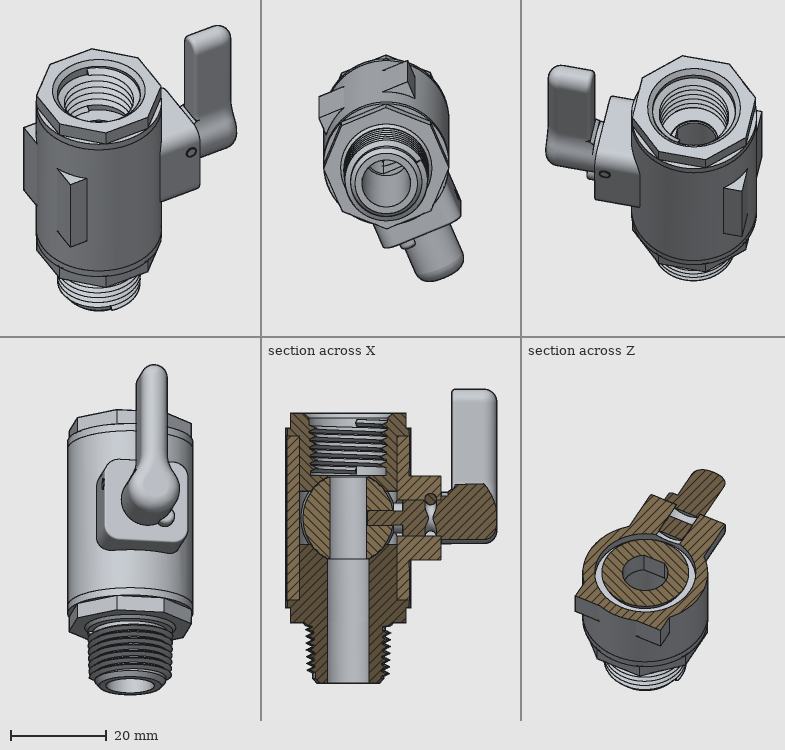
import cadquery as cq
import math


BODY_D = 26.25
BODY_HALF_H = 17.2
BODY_BORE_D = 21.1
BLOCK_W = 17.75
BLOCK_CORNER_R = 3.2
BLOCK_END_Y = 19.5
BLOCK_EDGE_R = 0.4
PAD_W = 20.2
PAD_Y = -12.4

FLANGE_TOP = 18.8
OCTAGON_TOP = 21.95
HALF_OCTAGON_STEP = 360 / 8 / 2
PORT_D = 10.2
PLUG_END_Z = 5.55
THREAD_TAPER = math.degrees(math.atan(1 / 32))
THREAD_FILL = 0.92
THREAD_SINK = 0.1

MOUTH_D = 19.4
FEMALE_ROOT_D = 17.4
MOUTH_DEPTH = 1.0
SHELF_Z = 8.95
FEMALE_ROOT_END_D = FEMALE_ROOT_D - (OCTAGON_TOP - MOUTH_DEPTH - SHELF_Z) / 16
FEMALE_CREST_DEPTH = 1.35
FEMALE_PITCH = 1.65
FEMALE_THREAD_START_Z = 9.9
FEMALE_TURNS = 6
FEMALE_START_ANGLE = 168

MALE_END_Z = -34.65
NECK_D = 19.1
NECK_FOOT_D = 17.75
NECK_H = 0.7
NECK_STEP_H = 0.2
MALE_ROOT_TOP_D = 15.55
MALE_ROOT_END_D = 14.9
MALE_TIP_D = 13.1
MALE_TIP_H = 1.05
MALE_CREST_DEPTH = 1.2
MALE_PITCH = 1.4
MALE_THREAD_START_Z = -33.0
MALE_TURNS = 7
MALE_START_ANGLE = -10

BALL_D = 19.9
BALL_BORE_D = 9.45

HANDLE_Y = 31.15
HUB_D = 10.8
GRIP_W = 5.55
GRIP_TOP_Z = 27.0
GRIP_INNER_Y = 21.65
GRIP_EDGE_R = 0.85
OUTER_EDGE_R = 2.7
BLEND_TOP_Z = 7.5
BLEND_Y = 20.85
BLEND_FOOT_Z = 6.05
STEM_D = 9.4
STEM_SHOULDER_Y = 11.4
TANG_D = 6.35
TANG_Y = 4.05
STOP_D = 3.7
STOP_X = -3.8
STOP_Z = -3.65
STOP_END_Y = 21.9
STOP_EDGE_R = 0.75

PIN_D = 2.35
PIN_Y = 17.25
PIN_Z = 3.9
PIN_CHAMFER = 0.2


def disc(diameter, z_from, z_to):
    """Cylinder on the flow axis."""
    return cq.Workplane("XY").workplane(offset=z_from).circle(diameter / 2).extrude(z_to - z_from)


def rod(diameter, y_from, y_to):
    """Cylinder on the stem axis."""
    return cq.Workplane("XZ", origin=(0, y_from, 0)).circle(diameter / 2).extrude(y_from - y_to)


def thread_ridge(pitch, turns, z_start, base_r, height, start_angle):
    """Right-hand helical ridge of triangular section; a negative height points inwards."""
    helix = cq.Wire.makeHelix(pitch, pitch * turns, base_r, angle=THREAD_TAPER)
    half_base = THREAD_FILL * pitch / 2
    section = (
        cq.Workplane("XZ")
        .polyline([(base_r, -half_base), (base_r + height, 0), (base_r, half_base)])
        .close()
    )
    ridge = section.sweep(cq.Workplane(helix), isFrenet=True)
    return ridge.rotate((0, 0, 0), (0, 0, 1), start_angle).translate((0, 0, z_start))


def pin_cylinder():
    """Cylinder along X through the whole stem block, beside the stem axis."""
    return cq.Workplane("YZ", origin=(-BLOCK_W / 2, PIN_Y, PIN_Z)).circle(PIN_D / 2).extrude(BLOCK_W)


def make_pin():
    return pin_cylinder().faces("<X or >X").chamfer(PIN_CHAMFER)


def make_housing():
    block = (
        cq.Workplane("XZ")
        .rect(BLOCK_W, BLOCK_W)
        .extrude(-BLOCK_END_Y)
        .edges("|Y")
        .fillet(BLOCK_CORNER_R)
        .faces(">Y")
        .edges()
        .fillet(BLOCK_EDGE_R)
    )
    pad = cq.Workplane("XZ").rect(PAD_W, BLOCK_W).extrude(-PAD_Y)
    housing = disc(BODY_D, -BODY_HALF_H, BODY_HALF_H).union(block).union(pad)
    housing = housing.cut(disc(BODY_BORE_D, -BODY_HALF_H, BODY_HALF_H))
    return housing.cut(rod(STEM_D, 0, BLOCK_END_Y)).cut(pin_cylinder())


def end_blank():
    """Plug, flange and octagon of an end that points up; the plug is hollowed to seat the ball."""
    plug = disc(BODY_BORE_D, PLUG_END_Z, BODY_HALF_H)
    flange = disc(BODY_D, BODY_HALF_H, FLANGE_TOP)
    octagon = (
        cq.Workplane("XY")
        .workplane(offset=FLANGE_TOP)
        .transformed(rotate=(0, 0, HALF_OCTAGON_STEP))
        .polygon(8, BODY_D)
        .extrude(OCTAGON_TOP - FLANGE_TOP)
    )
    plug = plug.cut(cq.Workplane("XY").sphere(BALL_D / 2))
    return plug.union(flange).union(octagon).cut(disc(PORT_D, PLUG_END_Z, OCTAGON_TOP))


def make_female_end():
    cone_z = OCTAGON_TOP - MOUTH_DEPTH
    mouth = (
        cq.Workplane("XZ")
        .polyline([
            (0, SHELF_Z),
            (FEMALE_ROOT_END_D / 2, SHELF_Z),
            (FEMALE_ROOT_D / 2, cone_z),
            (MOUTH_D / 2, OCTAGON_TOP),
            (0, OCTAGON_TOP),
        ])
        .close()
        .revolve(360, (0, 0, 0), (0, 1, 0))
    )
    base_r = FEMALE_ROOT_END_D / 2 + THREAD_SINK
    ridge = thread_ridge(
        FEMALE_PITCH, FEMALE_TURNS, FEMALE_THREAD_START_Z, base_r, -FEMALE_CREST_DEPTH - THREAD_SINK,
        FEMALE_START_ANGLE,
    )
    return end_blank().cut(mouth).union(ridge)


def make_male_end():
    neck_z = -OCTAGON_TOP - NECK_H
    root_z = neck_z - NECK_STEP_H
    tip_z = MALE_END_Z + MALE_TIP_H
    shank = (
        cq.Workplane("XZ")
        .polyline([
            (0, -OCTAGON_TOP),
            (NECK_D / 2, -OCTAGON_TOP),
            (NECK_FOOT_D / 2, neck_z),
            (MALE_ROOT_TOP_D / 2, root_z),
            (MALE_ROOT_END_D / 2, tip_z),
            (MALE_TIP_D / 2, MALE_END_Z),
            (0, MALE_END_Z),
        ])
        .close()
        .revolve(360, (0, 0, 0), (0, 1, 0))
    )
    base_r = MALE_ROOT_END_D / 2 - THREAD_SINK
    ridge = thread_ridge(
        MALE_PITCH, MALE_TURNS, MALE_THREAD_START_Z, base_r, MALE_CREST_DEPTH + THREAD_SINK,
        MALE_START_ANGLE,
    )
    blank = end_blank().mirror("XY")
    shank = shank.union(ridge)
    return blank.union(shank).cut(disc(PORT_D, MALE_END_Z, 0))


def make_ball():
    """Ball with flat ends as wide as the ports, a D-shaped bore and a socket for the stem's tang."""
    flat_z = math.sqrt((BALL_D / 2) ** 2 - (PORT_D / 2) ** 2)
    ball = cq.Workplane("XY").sphere(BALL_D / 2).intersect(disc(BALL_D, -flat_z, flat_z))
    below_tang = cq.Workplane("XY").box(BALL_D, BALL_D, BALL_D).translate((0, TANG_Y - BALL_D / 2, 0))
    bore = disc(BALL_BORE_D, -flat_z, flat_z).intersect(below_tang)
    return ball.cut(bore).cut(rod(TANG_D, TANG_Y, BALL_D))


def handle_outline():
    """Closed outline of the hub, the grip rising from it and the arcs that blend them."""
    half_w = GRIP_W / 2
    hub_r = HUB_D / 2
    blend_r = (half_w**2 + BLEND_TOP_Z**2 - hub_r**2) / (2 * (hub_r - half_w))
    reach = hub_r / (hub_r + blend_r)
    foot = ((half_w + blend_r) * reach, BLEND_TOP_Z * reach)
    arc_turn = math.atan2(BLEND_TOP_Z, half_w + blend_r) / 2
    mid = (half_w + blend_r * (1 - math.cos(arc_turn)), BLEND_TOP_Z - blend_r * math.sin(arc_turn))
    return (
        cq.Workplane("XZ", origin=(0, HANDLE_Y, 0))
        .moveTo(-half_w, GRIP_TOP_Z - half_w)
        .threePointArc((0, GRIP_TOP_Z), (half_w, GRIP_TOP_Z - half_w))
        .lineTo(half_w, BLEND_TOP_Z)
        .threePointArc(mid, foot)
        .threePointArc((0, -hub_r), (-foot[0], foot[1]))
        .threePointArc((-mid[0], mid[1]), (-half_w, BLEND_TOP_Z))
        .close()
    )


def make_handle():
    lever = handle_outline().extrude(HANDLE_Y - GRIP_INNER_Y)
    lever = lever.faces("<Y").edges().fillet(GRIP_EDGE_R)
    lever = lever.faces(">Y").edges().fillet(OUTER_EDGE_R)
    hub = rod(HUB_D, BLOCK_END_Y, HANDLE_Y - OUTER_EDGE_R)
    return lever.union(hub).union(make_flare()).union(make_stop()).union(make_stem())


def make_flare():
    """Slanted foot of the grip where it runs out onto the hub."""
    side = (
        cq.Workplane("YZ", origin=(-HUB_D / 2, 0, 0))
        .polyline([
            (BLEND_Y, 0),
            (BLEND_Y, HUB_D / 2),
            (GRIP_INNER_Y, BLEND_FOOT_Z),
            (HANDLE_Y - OUTER_EDGE_R, BLEND_FOOT_Z),
            (HANDLE_Y - OUTER_EDGE_R, 0),
        ])
        .close()
        .extrude(HUB_D)
    )
    return handle_outline().extrude(HANDLE_Y - BLEND_Y).intersect(side)


def make_stop():
    """Round stop post beside the hub."""
    return (
        rod(STOP_D, BLOCK_END_Y, STOP_END_Y)
        .faces(">Y")
        .edges()
        .fillet(STOP_EDGE_R)
        .translate((STOP_X, 0, STOP_Z))
    )


def make_stem():
    stem = rod(STEM_D, STEM_SHOULDER_Y, BLOCK_END_Y).union(rod(TANG_D, TANG_Y, STEM_SHOULDER_Y))
    groove = (
        cq.Workplane("XY")
        .moveTo(STEM_D, PIN_Y - PIN_D / 2)
        .lineTo(PIN_Z, PIN_Y - PIN_D / 2)
        .threePointArc((PIN_Z - PIN_D / 2, PIN_Y), (PIN_Z, PIN_Y + PIN_D / 2))
        .lineTo(STEM_D, PIN_Y + PIN_D / 2)
        .close()
        .revolve(360, (0, 0, 0), (0, 1, 0))
    )
    return stem.cut(groove)


pin = make_pin()
housing = make_housing()
female_end = make_female_end()
male_end = make_male_end()
ball = make_ball()
handle = make_handle()

result = cq.Compound.makeCompound([
    housing.val(),
    female_end.val(),
    male_end.val(),
    ball.val(),
    handle.val(),
    pin.val(),
])